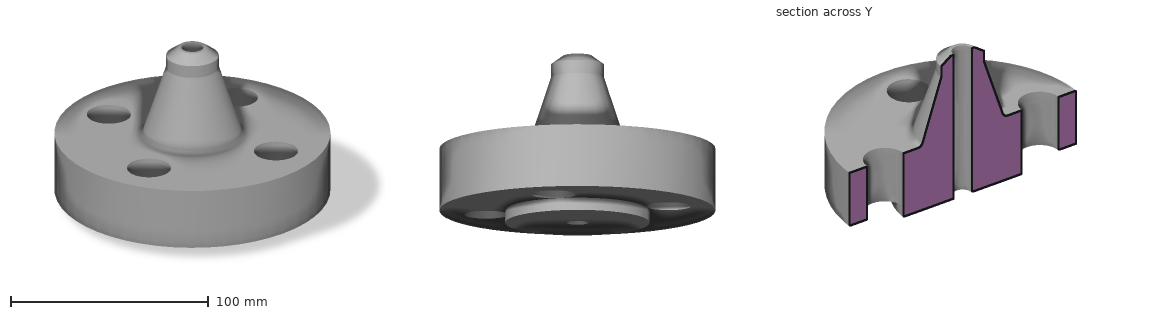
import cadquery as cq

FLANGE_DIAMETER = 139.7
FLANGE_THICKNESS = 31.7

FACE_DIAMETER = 73.0
FACE_HEIGHT = 6.3

OVERALL_HEIGHT = 85.6
HUB_BASE_DIAMETER = 51.0
NECK_DIAMETER = 26.7
NECK_LENGTH = 6.4
BEVEL_HEIGHT = 4.3
TIP_DIAMETER = 14.8
HUB_FILLET_RADIUS = 3.0

BORE_DIAMETER = 11.0
BOLT_HOLE_DIAMETER = 22.3
BOLT_CIRCLE_DIAMETER = 95.2
BOLT_COUNT = 4

FLANGE_TOP = FACE_HEIGHT + FLANGE_THICKNESS
BEVEL_BOTTOM = OVERALL_HEIGHT - BEVEL_HEIGHT
NECK_BOTTOM = BEVEL_BOTTOM - NECK_LENGTH


def make_body():
    """Flange, raised face and hub turned as one profile about the Z axis."""
    profile = [
        (0, 0),
        (FACE_DIAMETER / 2, 0),
        (FACE_DIAMETER / 2, FACE_HEIGHT),
        (FLANGE_DIAMETER / 2, FACE_HEIGHT),
        (FLANGE_DIAMETER / 2, FLANGE_TOP),
        (HUB_BASE_DIAMETER / 2, FLANGE_TOP),
        (NECK_DIAMETER / 2, NECK_BOTTOM),
        (NECK_DIAMETER / 2, BEVEL_BOTTOM),
        (TIP_DIAMETER / 2, OVERALL_HEIGHT),
        (0, OVERALL_HEIGHT),
    ]
    return cq.Workplane("XZ").polyline(profile).close().revolve(360, (0, 0), (0, 1))


def fillet_hub_root(body):
    """Round the corner where the hub cone meets the flange."""
    margin = 0.1
    pick_radius = HUB_BASE_DIAMETER / 2 + margin
    root = cq.selectors.BoxSelector(
        (-pick_radius, -pick_radius, FLANGE_TOP - margin),
        (pick_radius, pick_radius, FLANGE_TOP + margin),
        boundingbox=True,
    )
    return body.edges(root).fillet(HUB_FILLET_RADIUS)


def cut_bore(body):
    """Straight bore along the whole axis."""
    bore = cq.Workplane("XY").circle(BORE_DIAMETER / 2).extrude(OVERALL_HEIGHT)
    return body.cut(bore)


def cut_bolt_holes(body):
    """Bolt holes on the X and Y axes, which also nick the rim of the raised face."""
    holes = (
        cq.Workplane("XY")
        .polarArray(BOLT_CIRCLE_DIAMETER / 2, 0, 360, BOLT_COUNT)
        .circle(BOLT_HOLE_DIAMETER / 2)
        .extrude(FLANGE_TOP)
    )
    return body.cut(holes)


result = make_body()
result = fillet_hub_root(result)
result = cut_bore(result)
result = cut_bolt_holes(result)